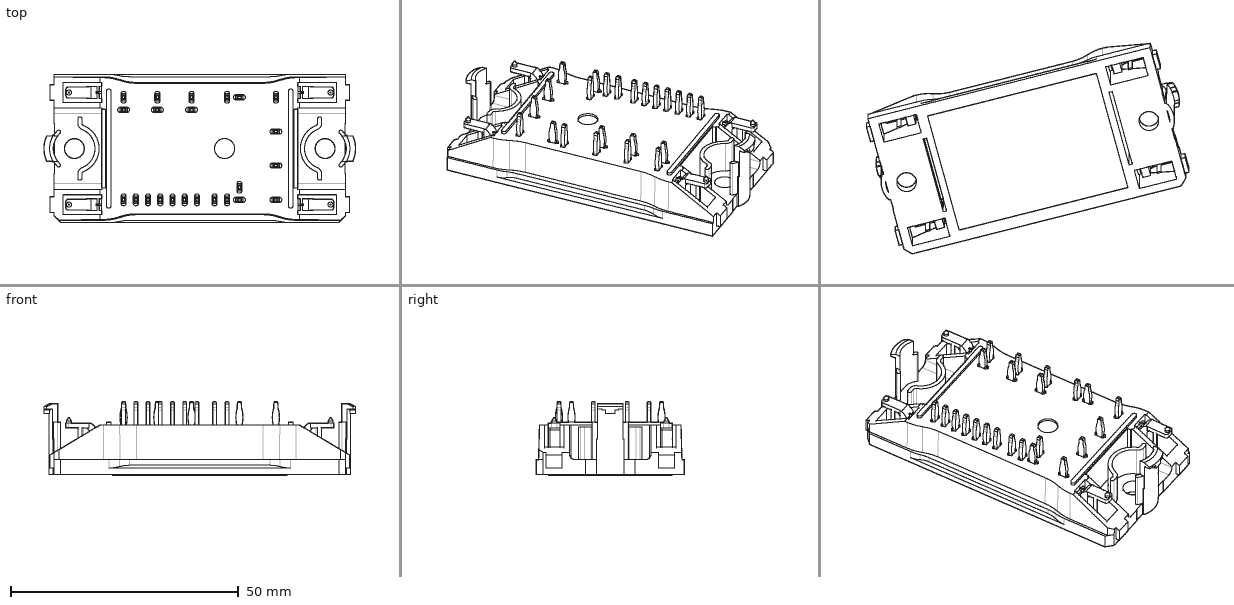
import cadquery as cq
import math

plate_thickness = 0.2
flange_top = 3.5
body_top = 11.1
rib_top = 11.7
overall_height = 16.23

plate_length, plate_width = 38.3, 27.1
housing_length = 64.0
flange_width = 32.5
flange_corner_x, flange_corner_y = 1.5, 1.5
body_width = 31.5
body_corner_x, body_corner_y = 1.1, 1.0
body_draft = 1.5
end_trim = 1.0
waist_outer_x, waist_inner_x = 21.1, 13.9
waist_depth = 1.25
slope_start_x = 21.85
slope_rise_per_x = 0.597
slope_overrun = 5.0

recess_outer_x, recess_inner_x = 19.9, 15.4
recess_depth = 0.5
recess_floor_outer_z, recess_floor_inner_z = 1.65, 2.27

bay_half_width = 8.95
bay_end_x = 20.7
bay_fillet = 1.25
slot_width, slot_length = 0.75, 17.2
end_recess_half_width, end_recess_depth = 5.45, 0.1
screw_x = 27.5
screw_diameter = 4.3

guard_radius = 4.97
guard_thickness = 0.9
guard_tail_offset = 1.2
guard_tail_bend_y, guard_tail_end_y = 5.6, 6.5
guard_top = 10.7

latch_inner_radius, latch_outer_radius = 4.6, 5.6
horn_half_angle = 46.5
horn_outer_radius = 5.4
latch_root_half_width, latch_head_half_width = 3.0, 2.8
latch_top = 15.8
hook_radius = 34.2 - screw_x
hook_bottom, hook_nose_top = 13.6, 15.1
hook_crest_radius = 5.45
latch_root_top = 8.0
hook_nose_bottom = 14.6
hook_lip_half_width = 1.0
hook_step_half_width, hook_step_bottom = 1.85, 14.35

pocket_inner_x, pocket_outer_x = 21.5, 29.96
pocket_y, pocket_width = 12.3, 4.3
tab_width = 3.5
tab_x, tab_bottom, tab_embed = 32.9, 1.65, 1.0
arm_outer_x, arm_bend_x = 29.4, 23.9
arm_width, leg_width = 2.45, 2.65
arm_bottom, arm_top = 10.45, 11.5
leg_outer_x, leg_inner_x, leg_bottom = 24.3, 22.5, 5.0
leg_shoulder_z = 9.95
leg_round_x, leg_round_z = 23.08, 10.83
bracket_size = 0.5
post_outer_x, post_length, post_thickness = 26.7, 0.9, 0.3
anchor_outer_x, anchor_bottom, anchor_top = 22.1, 8.0, 9.9
web_thickness, web_top = 0.35, 10.4
stud_x, stud_diameter = 28.7, 1.1
stud_shoulder_z, stud_tip_z = 12.0, 12.7
stud_tip_radius = 0.1

rib_x, rib_width, rib_length = 19.95, 1.05, 26.1
dimple_x, dimple_diameter, dimple_depth = 5.45, 4.4, 0.5

pin_thickness = 0.85
pin_root_half, pin_belly_half, pin_neck_half, pin_tip_half = 0.62, 0.8, 0.48, 0.3
pin_belly_z, pin_belly_end_z = 13.0, 14.4
pin_neck_z, pin_shoulder_z = 14.9, 15.7
pin_tip_chamfer = 0.2
pin_slot_length, pin_slot_width, pin_slot_depth = 2.6, 1.15, 0.5
column_left, column_mid, column_right = -16.7, 6.0, 16.7
column_a, column_b, column_beside = -9.3, -1.8, 8.7
outer_row_y, inner_row_y, side_row_y = 11.25, 8.5, 3.72
row_pitch = 2.68
row_pins = 7
extra_row_x = 3.25

pins_along_y = [(column_left + row_pitch * i, -outer_row_y) for i in range(row_pins)]
pins_along_y += [(extra_row_x, -outer_row_y), (column_mid, -outer_row_y), (column_beside, -inner_row_y)]
pins_along_y += [(x, outer_row_y) for x in (column_left, column_a, column_b, column_mid, column_right)]
pins_along_x = [(x, inner_row_y) for x in (column_left, column_a, column_b)]
pins_along_x += [(column_beside, outer_row_y), (column_beside, -outer_row_y), (column_right, -outer_row_y)]
pins_along_x += [(column_right, side_row_y), (column_right, -side_row_y)]

half_length = housing_length / 2
slope_end_x = half_length + slope_overrun
slope_end_z = body_top - slope_rise_per_x * (slope_end_x - slope_start_x)


def box(x0, x1, y0, y1, z0, z1):
    """Box between the given coordinates."""
    size = (abs(x1 - x0), abs(y1 - y0), abs(z1 - z0))
    corner = (min(x0, x1), min(y0, y1), min(z0, z1))
    return cq.Workplane("XY").box(*size, centered=False).translate(corner)


def cylinder(x, y, diameter, z0, z1):
    """Upright cylinder."""
    return cq.Workplane("XY", origin=(x, y, z0)).circle(diameter / 2).extrude(z1 - z0)


def both_ends(shape):
    """The shape together with its mirror image at the other end of the part."""
    return shape.union(shape.mirror("YZ"))


def s_curve(outline, x0, y0, x1, y1):
    """Add two equal, tangent arcs; the curve is parallel to X at both ends."""
    half_x, half_y = (x1 - x0) / 2, (y1 - y0) / 2
    radius = (half_x**2 + half_y**2) / (2 * abs(half_y))
    rise = math.copysign(radius - math.sqrt(radius**2 - (half_x / 2) ** 2), half_y)
    outline = outline.threePointArc((x0 + half_x / 2, y0 + rise), (x0 + half_x, y0 + half_y))
    return outline.threePointArc((x1 - half_x / 2, y1 - rise), (x1, y1))


def waisted_side(outline, start_x, side_y, depth, inner_x):
    """Add a long side, from start_x to -start_x, that swings inward over its middle."""
    waist_x = math.copysign(inner_x, start_x)
    waist_y = side_y - math.copysign(depth, side_y)
    outline = s_curve(outline, start_x, side_y, waist_x, waist_y)
    outline = outline.lineTo(-waist_x, waist_y)
    return s_curve(outline, -waist_x, waist_y, -start_x, side_y)


def make_flange():
    half_width = flange_width / 2
    flange = (
        cq.Workplane("XY", origin=(0, 0, plate_thickness))
        .moveTo(-half_length, half_width)
        .lineTo(half_length, half_width)
        .lineTo(half_length, -half_width + flange_corner_y)
        .lineTo(half_length - flange_corner_x, -half_width)
        .lineTo(-half_length + flange_corner_x, -half_width)
        .lineTo(-half_length, -half_width + flange_corner_y)
        .close()
        .extrude(flange_top - plate_thickness)
    )
    recess = make_side_recess()
    return flange.cut(recess).cut(recess.mirror("XZ"))


def make_side_recess():
    """Recess in the +Y side of the flange, with a floor that rises inward."""
    half_width = flange_width / 2
    outline = cq.Workplane("XY", origin=(0, 0, recess_floor_outer_z)).moveTo(-recess_outer_x, half_width)
    outline = waisted_side(outline, -recess_outer_x, half_width, recess_depth, recess_inner_x)
    recess = outline.close().extrude(flange_top - recess_floor_outer_z)
    floor_wedge = (
        cq.Workplane("YZ", origin=(-recess_outer_x, 0, 0))
        .moveTo(half_width, recess_floor_outer_z)
        .lineTo(half_width - recess_depth, recess_floor_outer_z)
        .lineTo(half_width - recess_depth, recess_floor_inner_z)
        .close()
        .extrude(2 * recess_outer_x)
    )
    return recess.cut(floor_wedge)


def make_body():
    """Drafted block with waisted long sides and ends that slope down."""
    half_width = body_width / 2
    long_end_x = half_length + end_trim
    corner_top_y = -half_width + body_corner_y * (body_corner_x + end_trim) / body_corner_x
    outline = cq.Workplane("XY", origin=(0, 0, flange_top)).moveTo(-long_end_x, half_width)
    outline = outline.lineTo(-waist_outer_x, half_width)
    outline = waisted_side(outline, -waist_outer_x, half_width, waist_depth, waist_inner_x)
    outline = outline.lineTo(long_end_x, half_width).lineTo(long_end_x, corner_top_y)
    outline = outline.lineTo(half_length - body_corner_x, -half_width).lineTo(waist_outer_x, -half_width)
    outline = waisted_side(outline, waist_outer_x, -half_width, waist_depth, waist_inner_x)
    outline = outline.lineTo(-half_length + body_corner_x, -half_width)
    outline = outline.lineTo(-long_end_x, corner_top_y).close()
    body = outline.extrude(body_top - flange_top, taper=body_draft)
    body = body.intersect(box(-half_length, half_length, -half_width, half_width, flange_top, body_top))
    return body.cut(both_ends(make_end_slope()))


def make_end_slope():
    """Wedge above the sloped -X end of the body."""
    return (
        cq.Workplane("XZ", origin=(0, flange_width / 2, 0))
        .moveTo(-slope_start_x, body_top)
        .lineTo(-slope_end_x, slope_end_z)
        .lineTo(-slope_end_x, overall_height)
        .lineTo(-slope_start_x, overall_height)
        .close()
        .extrude(flange_width)
    )


def make_tabs():
    """Tabs on the -X end, one outside each contact pocket."""
    tabs = cq.Workplane("XY")
    for y in (-pocket_y, pocket_y):
        y0, y1 = y - tab_width / 2, y + tab_width / 2
        tabs = tabs.union(box(-tab_x, -half_length + tab_embed, y0, y1, tab_bottom, body_top))
    return tabs.cut(make_end_slope())


def make_end_cuts():
    """Material removed at the -X end: screw bay, slot, screw hole, face recess, pockets."""
    slot_outer_x = bay_end_x + slot_width
    bay = box(-slope_end_x, -slot_outer_x, -bay_half_width, bay_half_width, flange_top, overall_height)
    bay = bay.edges("|X and <Z").fillet(bay_fillet)
    slot = box(-slot_outer_x, -bay_end_x, -slot_length / 2, slot_length / 2, 0, overall_height)
    cuts = bay.union(slot).union(cylinder(-screw_x, 0, screw_diameter, 0, flange_top))
    half_recess = end_recess_half_width
    recess_x = -half_length + end_recess_depth
    cuts = cuts.union(box(-half_length, recess_x, -half_recess, half_recess, 0, flange_top))
    for y in (-pocket_y, pocket_y):
        y0, y1 = y - pocket_width / 2, y + pocket_width / 2
        cuts = cuts.union(box(-pocket_outer_x, -pocket_inner_x, y0, y1, 0, overall_height))
    return cuts


def make_guard():
    """Thin wall that curves around the screw and ends in two straight tails."""
    bend_radius = (guard_tail_offset**2 + guard_tail_bend_y**2 - guard_radius**2) / (
        2 * (guard_radius - guard_tail_offset)
    )
    bend_x = guard_tail_offset + bend_radius
    joint_angle = math.atan2(guard_tail_bend_y, bend_x)
    joint_x = guard_radius * math.cos(joint_angle)
    joint_y = guard_radius * math.sin(joint_angle)
    bend_angle = math.pi + joint_angle / 2
    bend_mid_x = bend_x + bend_radius * math.cos(bend_angle)
    bend_mid_y = guard_tail_bend_y + bend_radius * math.sin(bend_angle)
    return (
        cq.Workplane("XY", origin=(-screw_x, 0, flange_top))
        .moveTo(guard_tail_offset, guard_tail_end_y)
        .lineTo(guard_tail_offset, guard_tail_bend_y)
        .threePointArc((bend_mid_x, bend_mid_y), (joint_x, joint_y))
        .threePointArc((guard_radius, 0), (joint_x, -joint_y))
        .threePointArc((bend_mid_x, -bend_mid_y), (guard_tail_offset, -guard_tail_bend_y))
        .lineTo(guard_tail_offset, -guard_tail_end_y)
        .offset2D(guard_thickness / 2)
        .extrude(guard_top - flange_top)
    )


def ring_section(r0, r1, z0, z1):
    """Rectangle in radius and height."""
    return [(r0, z0), (r1, z0), (r1, z1), (r0, z1)]


def latch_ring(profile, half_width):
    """Ring swept around the screw axis, kept on its -X side within a half width."""
    ring = cq.Workplane("XZ").polyline(profile).close().revolve(360, (0, 0, 0), (0, 1, 0))
    kept = box(-hook_radius, 0, -half_width, half_width, 0, latch_top)
    return ring.intersect(kept).translate((-screw_x, 0, 0))


def make_latch():
    """Curved upright latch: root, rounded horns beside it, and a hooked head."""
    root = latch_ring(
        ring_section(latch_inner_radius, latch_outer_radius, plate_thickness, latch_root_top),
        latch_root_half_width,
    )
    head = latch_ring(
        [
            (latch_inner_radius, flange_top),
            (latch_outer_radius, flange_top),
            (latch_outer_radius, hook_nose_bottom),
            (hook_radius, hook_nose_bottom),
            (hook_radius, hook_nose_top),
            (hook_crest_radius, latch_top),
            (latch_inner_radius, latch_top),
        ],
        latch_head_half_width,
    )
    step_section = ring_section(latch_inner_radius, hook_radius, hook_step_bottom, hook_nose_bottom)
    head = head.union(latch_ring(step_section, hook_step_half_width))
    lip_section = ring_section(latch_inner_radius, hook_radius, hook_bottom, hook_nose_bottom)
    head = head.union(latch_ring(lip_section, hook_lip_half_width))
    mid_radius = (latch_inner_radius + horn_outer_radius) / 2
    horn_x = -mid_radius * math.cos(math.radians(horn_half_angle))
    horn_y = mid_radius * math.sin(math.radians(horn_half_angle))
    horns = (
        cq.Workplane("XY", origin=(-screw_x, 0, flange_top))
        .moveTo(horn_x, horn_y)
        .threePointArc((-mid_radius, 0), (horn_x, -horn_y))
        .offset2D((horn_outer_radius - latch_inner_radius) / 2)
        .extrude(rib_top - flange_top)
    )
    return root.union(horns).union(head)


def make_contact(y):
    """Spring contact over a pocket: arm with a stud, leg, side post and wall anchor."""
    half_arm, half_leg, half_web = arm_width / 2, leg_width / 2, web_thickness / 2
    arm = box(-arm_outer_x, -leg_outer_x, y - half_arm, y + half_arm, arm_bottom, arm_top)
    arm = arm.edges("|Z and <X").fillet(half_arm / 2)
    leg = (
        cq.Workplane("XZ", origin=(0, y + half_leg, 0))
        .moveTo(-leg_outer_x, leg_bottom)
        .lineTo(-leg_outer_x, arm_bottom - bracket_size)
        .lineTo(-leg_outer_x - bracket_size, arm_bottom)
        .lineTo(-leg_outer_x, arm_bottom)
        .lineTo(-leg_outer_x, arm_top)
        .lineTo(-arm_bend_x, arm_top)
        .threePointArc((-leg_round_x, leg_round_z), (-leg_inner_x, leg_shoulder_z))
        .lineTo(-leg_inner_x, leg_bottom)
        .close()
        .extrude(leg_width)
    )
    post_inner_x = post_outer_x - post_length
    post_y = y - half_arm
    post = box(-post_outer_x, -post_inner_x, post_y, post_y + post_thickness, leg_bottom, arm_bottom)
    anchor = box(-anchor_outer_x, -pocket_inner_x, y - half_leg, y + half_leg, anchor_bottom, anchor_top)
    web = box(-arm_bend_x, -pocket_inner_x, y - half_web, y + half_web, anchor_bottom, web_top)
    stud = cylinder(-stud_x, y, stud_diameter, arm_bottom, stud_shoulder_z)
    tip = (
        cq.Workplane("XY", origin=(-stud_x, y, stud_shoulder_z))
        .circle(stud_diameter / 2)
        .workplane(offset=stud_tip_z - stud_shoulder_z)
        .circle(stud_tip_radius)
        .loft()
    )
    contact = arm
    for piece in (leg, post, anchor, web, stud, tip):
        contact = contact.union(piece)
    return contact


def make_pin():
    """Flat press-fit pin, broad along X, widest partway up."""
    bottom = body_top - pin_slot_depth
    return (
        cq.Workplane("XZ", origin=(0, pin_thickness / 2, 0))
        .moveTo(-pin_root_half, bottom)
        .lineTo(pin_root_half, bottom)
        .lineTo(pin_root_half, body_top)
        .threePointArc((pin_belly_half, pin_belly_z), (pin_root_half, pin_belly_end_z))
        .lineTo(pin_neck_half, pin_neck_z)
        .lineTo(pin_neck_half, pin_shoulder_z)
        .lineTo(pin_tip_half, overall_height)
        .lineTo(-pin_tip_half, overall_height)
        .lineTo(-pin_neck_half, pin_shoulder_z)
        .lineTo(-pin_neck_half, pin_neck_z)
        .lineTo(-pin_root_half, pin_belly_end_z)
        .threePointArc((-pin_belly_half, pin_belly_z), (-pin_root_half, body_top))
        .close()
        .extrude(pin_thickness)
        .faces(">Z")
        .edges("|X")
        .chamfer(pin_tip_chamfer)
    )


def make_pin_slot():
    """Round-ended pocket in the top face around a pin."""
    return (
        cq.Workplane("XY", origin=(0, 0, body_top - pin_slot_depth))
        .slot2D(pin_slot_length, pin_slot_width)
        .extrude(pin_slot_depth)
    )


def at_pin_places(shape):
    """Copies of a shape at every pin place, turned where the pin is broad along Y."""
    turned = shape.rotate((0, 0, 0), (0, 0, 1), 90)
    copies = [shape.translate((x, y, 0)).val() for x, y in pins_along_x]
    copies += [turned.translate((x, y, 0)).val() for x, y in pins_along_y]
    return cq.Workplane("XY").newObject([cq.Compound.makeCompound(copies)])


def make_rib():
    """Round-ended rib across the -X end of the top face."""
    return (
        cq.Workplane("XY", origin=(-rib_x, 0, body_top))
        .slot2D(rib_length, rib_width, 90)
        .extrude(rib_top - body_top)
    )


plate = cq.Workplane("XY").box(plate_length, plate_width, plate_thickness, centered=(True, True, False))
housing = plate.union(make_flange()).union(make_body()).union(both_ends(make_tabs()))
housing = housing.cut(both_ends(make_end_cuts()))
housing = housing.cut(cylinder(dimple_x, 0, dimple_diameter, body_top - dimple_depth, body_top))
housing = housing.cut(at_pin_places(make_pin_slot()))

end_fittings = make_latch().cut(cylinder(-screw_x, 0, screw_diameter, 0, flange_top)).union(make_guard())
end_fittings = end_fittings.union(make_rib())
end_fittings = end_fittings.union(make_contact(pocket_y)).union(make_contact(-pocket_y))

result = housing.union(both_ends(end_fittings)).union(at_pin_places(make_pin()))